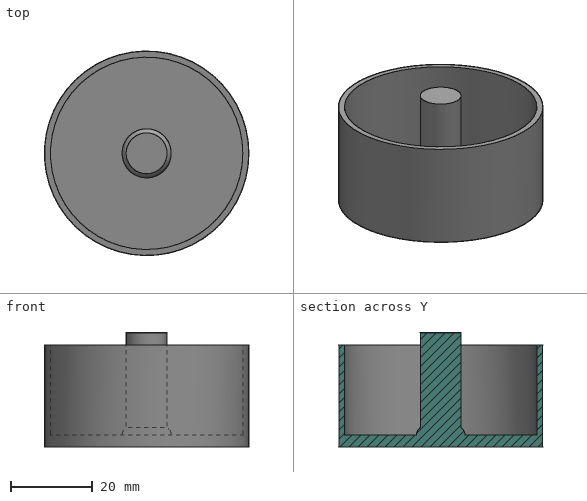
import cadquery as cq
import math

outer_diameter = 50
wall_thickness = 1.5
cup_height = 25
floor_thickness = 3

pin_diameter = 10
pin_rise_above_rim = 3

bead_diameter = 12
bead_round = 2

inner_diameter = outer_diameter - 2 * wall_thickness
pin_top = cup_height + pin_rise_above_rim


def make_cup():
    body = cq.Workplane("XY").circle(outer_diameter / 2).extrude(cup_height)
    cavity = (
        cq.Workplane("XY")
        .workplane(offset=floor_thickness)
        .circle(inner_diameter / 2)
        .extrude(cup_height - floor_thickness)
    )
    return body.cut(cavity)


def make_pin():
    """Half profile revolved about Z, with a convex bead at the floor."""
    pin_radius = pin_diameter / 2
    bead_radius = bead_diameter / 2
    round_center_radius = bead_radius - bead_round
    bead_height = math.sqrt(bead_round**2 - (pin_radius - round_center_radius) ** 2)
    return (
        cq.Workplane("XZ")
        .moveTo(0, 0)
        .lineTo(bead_radius, 0)
        .lineTo(bead_radius, floor_thickness)
        .radiusArc((pin_radius, floor_thickness + bead_height), -bead_round)
        .lineTo(pin_radius, pin_top)
        .lineTo(0, pin_top)
        .close()
        .revolve(360, (0, 0, 0), (0, 1, 0))
    )


result = make_cup().union(make_pin())